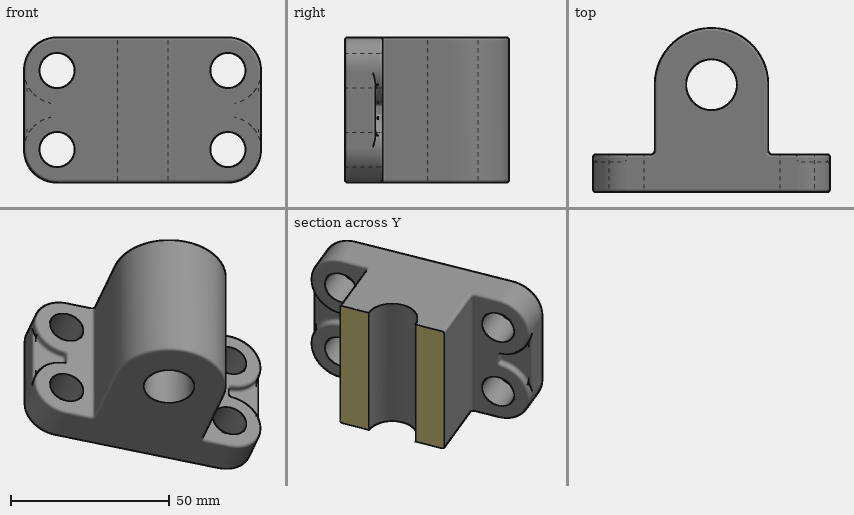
import cadquery as cq

plate_length = 75.0
plate_height = 46.0
plate_thickness = 12.0
corner_radius = 10.5
bolt_hole_diameter = 11.0
bolt_x = plate_length / 2 - corner_radius
bolt_z = plate_height / 2 - corner_radius

total_depth = 52.0
lug_radius = 18.0
lug_center_y = total_depth - lug_radius
bore_diameter = 16.0

floor_y = 9.7
pad_gap = 2 * (bolt_z - corner_radius)

edge_radius = 1.0
base_top_y = floor_y - edge_radius


def along_y(y):
    """Workplane at the given Y; a negative extrusion runs toward +Y."""
    return cq.Workplane("XZ", origin=(0, y, 0))


def along_z(half_height):
    """Workplane at Z = -half_height, for upward extrusions."""
    return cq.Workplane("XY", origin=(0, 0, -half_height))


def make_base():
    """Front layer of the plate, with a rounded front rim."""
    base = along_y(0).rect(plate_length, plate_height).extrude(-base_top_y)
    base = base.edges("|Y").fillet(corner_radius)
    return base.faces("<Y").edges().fillet(edge_radius)


def make_pad_layer():
    """Back layer of the plate: each corner is a half-round pad about its bolt hole."""
    end_x = plate_length / 2
    top_z = plate_height / 2
    gap_z = pad_gap / 2
    outline = (
        along_y(base_top_y)
        .moveTo(-bolt_x, top_z)
        .lineTo(bolt_x, top_z)
        .threePointArc((end_x, bolt_z), (bolt_x, gap_z))
        .lineTo(bolt_x, -gap_z)
        .threePointArc((end_x, -bolt_z), (bolt_x, -top_z))
        .lineTo(-bolt_x, -top_z)
        .threePointArc((-end_x, -bolt_z), (-bolt_x, -gap_z))
        .lineTo(-bolt_x, gap_z)
        .threePointArc((-end_x, bolt_z), (-bolt_x, top_z))
        .close()
    )
    layer = outline.extrude(base_top_y - plate_thickness)
    gap_corners = cq.selectors.BoxSelector(
        (-end_x, 0, -gap_z - edge_radius), (end_x, plate_thickness, gap_z + edge_radius)
    )
    return layer.edges("|Y").edges(gap_corners).fillet(edge_radius)


def make_lug():
    profile = (
        along_z(plate_height / 2)
        .moveTo(-lug_radius, base_top_y)
        .lineTo(-lug_radius, lug_center_y)
        .threePointArc((0, total_depth), (lug_radius, lug_center_y))
        .lineTo(lug_radius, base_top_y)
        .close()
    )
    return profile.extrude(plate_height)


def round_pads_and_lug(body):
    """Round the foot of the lug, then the pad rims and the upper and lower lug rims."""
    margin = edge_radius / 2
    foot_box = cq.selectors.BoxSelector(
        (-lug_radius - margin, plate_thickness - margin, -plate_height),
        (lug_radius + margin, plate_thickness + margin, plate_height),
    )
    body = body.edges("|Z").edges(foot_box).fillet(edge_radius)
    behind_pads = cq.selectors.BoxSelector(
        (-plate_length, plate_thickness - margin, -plate_height),
        (plate_length, total_depth + margin, plate_height),
        boundingbox=True,
    )
    rims = []
    for edge in body.edges(behind_pads).vals():
        center = edge.Center()
        on_flat_side = abs(center.z) > plate_height / 2 - margin
        on_pad_rim = abs(center.x) > lug_radius + edge_radius + margin
        if on_flat_side or on_pad_rim:
            rims.append(edge)
    return body.newObject(rims).fillet(edge_radius)


def make_floor_ends():
    """Bar through the floor layer whose rounded ends finish the floor at the plate ends."""
    end_x = plate_length / 2
    profile = (
        along_z(bolt_z)
        .moveTo(-end_x, base_top_y)
        .radiusArc((-end_x + edge_radius, floor_y), edge_radius)
        .lineTo(end_x - edge_radius, floor_y)
        .radiusArc((end_x, base_top_y), edge_radius)
        .close()
    )
    return profile.extrude(2 * bolt_z)


def add_floor_with_foot(body):
    """Add the flat part of the floor and round the corner where it meets the pads."""
    flat_end_x = plate_length / 2 - edge_radius
    margin = edge_radius / 10
    flat_floor = (
        along_y(base_top_y)
        .rect(2 * flat_end_x, 2 * bolt_z)
        .extrude(base_top_y - floor_y)
    )
    foot_box = cq.selectors.BoxSelector(
        (-flat_end_x + margin, floor_y - margin, -bolt_z),
        (flat_end_x - margin, floor_y + margin, bolt_z),
    )
    return body.union(flat_floor).edges(foot_box).fillet(edge_radius)


def make_bolt_holes():
    centers = [(x, z) for x in (-bolt_x, bolt_x) for z in (-bolt_z, bolt_z)]
    return along_y(0).pushPoints(centers).circle(bolt_hole_diameter / 2).extrude(-plate_thickness)


def make_bore():
    return along_z(plate_height / 2).center(0, lug_center_y).circle(bore_diameter / 2).extrude(plate_height)


upper_body = round_pads_and_lug(make_pad_layer().union(make_lug()))
upper_body = add_floor_with_foot(upper_body)
body = make_base().union(upper_body).union(make_floor_ends())
result = body.cut(make_bolt_holes()).cut(make_bore())